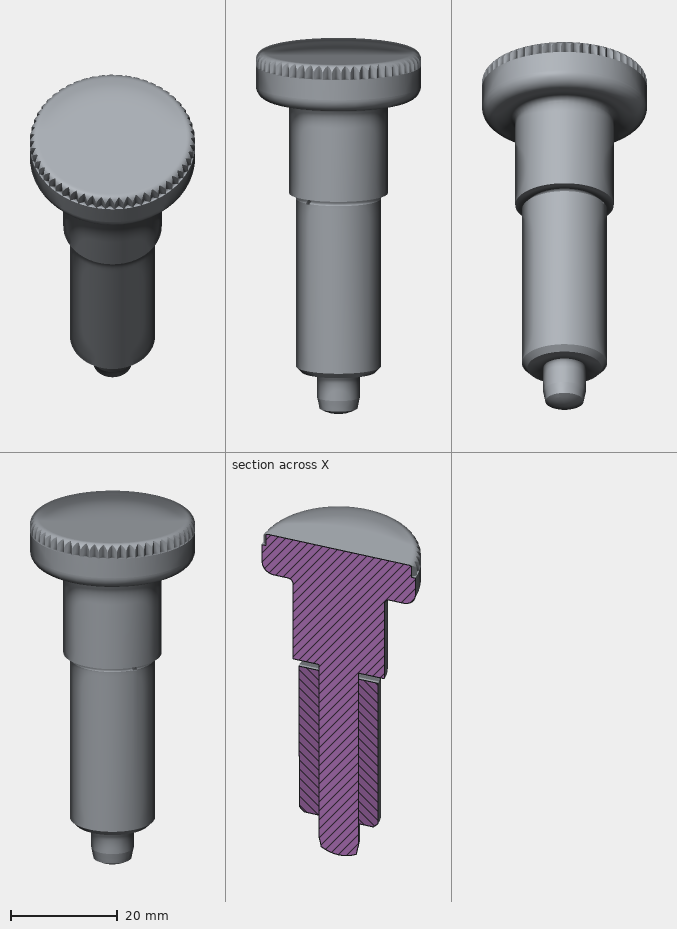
import cadquery as cq
import math

TOTAL_LENGTH = 69.0

KNOB_RADIUS = 31.0 / 2
KNOB_THICKNESS = 9.0
KNOB_TOP_FILLET = 1.5
KNOB_BOTTOM_FILLET = 2.5

KNURL_COUNT = 56
KNURL_HEIGHT = 2.6
KNURL_GROOVE_ANGLE = 90.0
KNURL_LAND_SHARE = 0.05
KNURL_MARGIN = 0.7

SLEEVE_RADIUS = 18.5 / 2
SLEEVE_FILLET = 1.05

PIN_RADIUS = 8.0 / 2
PIN_PROTRUSION = 8.0
DOME_HEIGHT = 1.05
DOME_RADIUS = 3.6
TAPER_LENGTH = 2.1

HOUSING_RADIUS = 16.0 / 2
HOUSING_LENGTH = 34.0
HOUSING_CHAMFER = 1.05
SLOT_WIDTH = 1.0
SLOT_DEPTH = 1.25

HOUSING_BOTTOM = PIN_PROTRUSION
HOUSING_TOP = HOUSING_BOTTOM + HOUSING_LENGTH
KNOB_BOTTOM = TOTAL_LENGTH - KNOB_THICKNESS


def round_corner(radius):
    """Distance from a square corner, along each side, to the middle of its fillet."""
    return radius * (1 - math.sqrt(0.5))


def revolve_profile(profile):
    """Turn a closed half profile in the XZ plane around the Z axis."""
    return profile.close().revolve(360, (0, 0, 0), (0, 1, 0))


def make_plunger_blank():
    """Knob head, sleeve and pin as one turned shape, without the knurl."""
    top_mid = round_corner(KNOB_TOP_FILLET)
    bottom_mid = round_corner(KNOB_BOTTOM_FILLET)
    sleeve_mid = round_corner(SLEEVE_FILLET)
    sphere_radius = (DOME_RADIUS**2 + DOME_HEIGHT**2) / (2 * DOME_HEIGHT)
    dome_mid_x = DOME_RADIUS / 2
    dome_mid_z = sphere_radius - math.sqrt(sphere_radius**2 - dome_mid_x**2)
    profile = (
        cq.Workplane("XZ")
        .moveTo(0, 0)
        .threePointArc((dome_mid_x, dome_mid_z), (DOME_RADIUS, DOME_HEIGHT))
        .lineTo(PIN_RADIUS, DOME_HEIGHT + TAPER_LENGTH)
        .lineTo(PIN_RADIUS, HOUSING_TOP)
        .lineTo(SLEEVE_RADIUS, HOUSING_TOP)
        .lineTo(SLEEVE_RADIUS, KNOB_BOTTOM - SLEEVE_FILLET)
        .threePointArc(
            (SLEEVE_RADIUS + sleeve_mid, KNOB_BOTTOM - sleeve_mid),
            (SLEEVE_RADIUS + SLEEVE_FILLET, KNOB_BOTTOM),
        )
        .lineTo(KNOB_RADIUS - KNOB_BOTTOM_FILLET, KNOB_BOTTOM)
        .threePointArc(
            (KNOB_RADIUS - bottom_mid, KNOB_BOTTOM + bottom_mid),
            (KNOB_RADIUS, KNOB_BOTTOM + KNOB_BOTTOM_FILLET),
        )
        .lineTo(KNOB_RADIUS, TOTAL_LENGTH - KNOB_TOP_FILLET)
        .threePointArc(
            (KNOB_RADIUS - top_mid, TOTAL_LENGTH - top_mid),
            (KNOB_RADIUS - KNOB_TOP_FILLET, TOTAL_LENGTH),
        )
        .lineTo(0, TOTAL_LENGTH)
    )
    return revolve_profile(profile)


def make_knurl_groove():
    """Cutter for one V groove on the -Y side of the knob."""
    pitch_angle = 2 * math.pi / KNURL_COUNT
    half_angle = pitch_angle * (1 - KNURL_LAND_SHARE) / 2
    flank_slope = math.tan(math.radians(KNURL_GROOVE_ANGLE / 2))
    half_width = KNOB_RADIUS * math.sin(half_angle)
    root_radius = KNOB_RADIUS * math.cos(half_angle) - half_width / flank_slope
    outer_radius = KNOB_RADIUS + KNURL_MARGIN
    outer_half_width = (outer_radius - root_radius) * flank_slope
    return (
        cq.Workplane("XY", origin=(0, 0, TOTAL_LENGTH - KNURL_HEIGHT))
        .polyline([
            (0, -root_radius),
            (-outer_half_width, -outer_radius),
            (outer_half_width, -outer_radius),
        ])
        .close()
        .extrude(KNURL_HEIGHT + KNURL_MARGIN)
    )


def make_plunger():
    """Knob and pin in one piece, with the knurl grooves cut into the rim."""
    plunger = make_plunger_blank()
    groove = make_knurl_groove()
    for index in range(KNURL_COUNT):
        plunger = plunger.cut(groove.rotate((0, 0, 0), (0, 0, 1), index * 360 / KNURL_COUNT))
    return plunger


def make_housing():
    """Guide tube around the pin, chamfered at both ends, with a slot across its top."""
    chamfered_radius = HOUSING_RADIUS - HOUSING_CHAMFER
    profile = (
        cq.Workplane("XZ")
        .moveTo(PIN_RADIUS, HOUSING_BOTTOM)
        .lineTo(chamfered_radius, HOUSING_BOTTOM)
        .lineTo(HOUSING_RADIUS, HOUSING_BOTTOM + HOUSING_CHAMFER)
        .lineTo(HOUSING_RADIUS, HOUSING_TOP - HOUSING_CHAMFER)
        .lineTo(chamfered_radius, HOUSING_TOP)
        .lineTo(PIN_RADIUS, HOUSING_TOP)
    )
    slot = (
        cq.Workplane("XY", origin=(0, 0, HOUSING_TOP - SLOT_DEPTH))
        .rect(SLOT_WIDTH, 2 * HOUSING_RADIUS)
        .extrude(SLOT_DEPTH)
    )
    return revolve_profile(profile).cut(slot)


plunger = make_plunger()
housing = make_housing()

result = cq.Compound.makeCompound([plunger.val(), housing.val()])